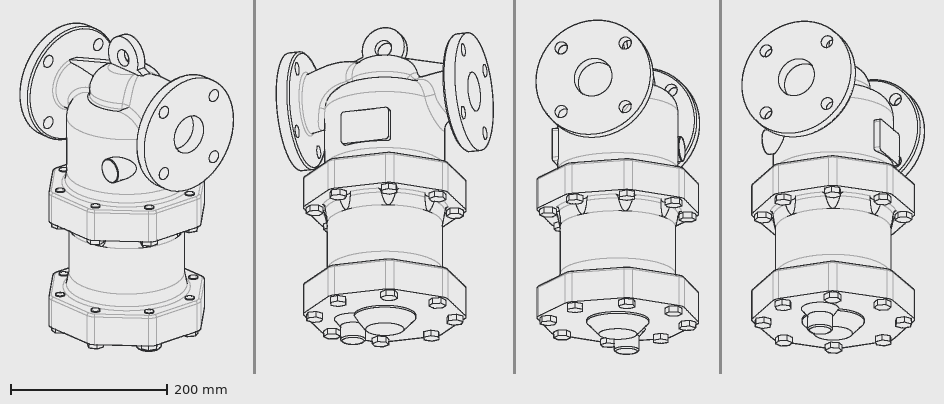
import cadquery as cq
import math


FACE_TO_FACE = 242.0
PIPE_FLANGE_DIA = 152.0
PIPE_FLANGE_THICKNESS = 17.0
PIPE_FLANGE_CHAMFER = 2.5
FLANGE_BACK_X = FACE_TO_FACE / 2 - PIPE_FLANGE_THICKNESS
PIPE_BOLT_CIRCLE_DIA = 120.0
PIPE_BOLT_HOLE_DIA = 16.0
PIPE_BOLT_COUNT = 4
BORE_DIA = 50.0
BORE_DEPTH = 20.0

PIPE_RADIUS = 32.0
PIPE_ROOT_FILLET = 3.0
PIPE_OVERLAP = 1.0
INLET_BARREL_FILLET = 14.0
INLET_DOME_FILLET = 8.0
OUTLET_BARREL_FILLET = 9.0
OUTLET_DOME_FILLET = 14.0
INLET_SECTIONS = [
    (-FLANGE_BACK_X - PIPE_OVERLAP, -PIPE_RADIUS, PIPE_RADIUS),
    (-98.0, -PIPE_RADIUS, PIPE_RADIUS),
    (-70.0, -35.0, 29.0),
    (-10.0, -43.0, 21.0),
]
OUTLET_SECTIONS = [
    (0.0, -21.0, 46.0),
    (42.0, -24.0, 58.0),
    (66.0, -25.0, 58.0),
    (86.0, -27.5, 53.0),
    (FLANGE_BACK_X + PIPE_OVERLAP, -31.0, 45.5),
]

SEAM_ANGLE = 90.0
UPPER_BODY_RADIUS = 77.0
LOWER_BODY_RADIUS = 74.0
SHOULDER_Z = -13.0
SHOULDER_RADIUS = 27.5
DOME_RADIUS = 47.5
DOME_BASE_Z = -70.0
DOME_SIDE_TOP_Z = 24.5
DOME_CROWN_RADIUS = 24.0
DOME_TOP_Z = 55.0
DOME_ROOT_FILLET = 2.5
SKIRT_FLARE = 3.5
UPPER_SKIRT_FLARE = 2.0
UPPER_SKIRT_HEIGHT = 15.0
SKIRT_HEIGHT = 20.0
SKIRT_ROOT_FILLET = 4.0

OCTAGON_ACROSS_FLATS = 195.0
OCTAGON_CORNER_RADIUS = 14.0
OCTAGON_TOP_FILLET = 3.0
UPPER_JOINT_TOP_Z = -104.0
JOINT_PITCH = 144.5
JOINT_THICKNESS = 41.5

BOLT_COUNT = 8
BOLT_CIRCLE_RADIUS = 90.0
BOLT_DIA = 12.0
BOLT_TIP_HEIGHT = 1.3
BOLT_HEAD_CORNER_DIA = 22.0
BOLT_HEAD_HEIGHT = 7.5
SPOT_RECESS_RADIUS = 16.0
UPPER_HEAD_ANGLE = -7.5
LOWER_HEAD_ANGLE = -22.5

LUG_Z = 69.9
LUG_RADIUS = 28.5
LUG_HOLE_DIA = 22.0
LUG_THICKNESS = 12.0
TOTAL_HEIGHT = 417.91
RIB_END_Z = 35.0
RIB_HEEL = (-26.0, 54.6)
LUG_TOE_TOP = (27.0, 62.0)
LUG_TOE_END = (38.5, 57.0)

COVER_RADIUS = 40.0
COVER_FACE_RADIUS = 24.5
COVER_DEPTH = 18.4
COVER_RIM_HEIGHT = 2.4
DRAIN_X = 43.0
DRAIN_DIA = 32.0
DRAIN_CHAMFER = 2.0
DRAIN_FLARE = 8.0
DRAIN_FLARE_HEIGHT = 9.5

BOSS_X = 49.4
BOSS_Z = -53.4
BOSS_DIA = 32.0
BOSS_FACE_Y = -72.0
BOSS_CHAMFER = 1.0
PAD_WIDTH = 64.0
PAD_HEIGHT = 43.0
PAD_Z = -58.0
PAD_FACE_Y = 78.5
PAD_CORNER_RADIUS = 4.0

LOWER_JOINT_TOP_Z = UPPER_JOINT_TOP_Z - JOINT_PITCH
UPPER_JOINT_BOTTOM_Z = UPPER_JOINT_TOP_Z - JOINT_THICKNESS
LOWER_JOINT_BOTTOM_Z = LOWER_JOINT_TOP_Z - JOINT_THICKNESS
SHOULDER_TOP_Z = SHOULDER_Z + SHOULDER_RADIUS
BOTTOM_Z = LUG_Z + LUG_RADIUS - TOTAL_HEIGHT


def barrel():
    """Upper vessel below the dome: skirt, cylinder and rounded shoulder, revolved about Z."""
    r = UPPER_BODY_RADIUS
    diagonal = SHOULDER_RADIUS * math.sqrt(0.5)
    shoulder_centre_r = r - SHOULDER_RADIUS
    skirt_r = r + UPPER_SKIRT_FLARE
    skirt_z = UPPER_JOINT_TOP_Z + SKIRT_ROOT_FILLET
    skirt_diagonal = SKIRT_ROOT_FILLET * (1 - math.sqrt(0.5))
    return (
        cq.Workplane("XZ")
        .moveTo(0, UPPER_JOINT_TOP_Z)
        .lineTo(skirt_r + SKIRT_ROOT_FILLET, UPPER_JOINT_TOP_Z)
        .threePointArc(
            (skirt_r + skirt_diagonal, UPPER_JOINT_TOP_Z + skirt_diagonal),
            (skirt_r, skirt_z),
        )
        .lineTo(r, UPPER_JOINT_TOP_Z + UPPER_SKIRT_HEIGHT)
        .lineTo(r, SHOULDER_Z)
        .threePointArc(
            (shoulder_centre_r + diagonal, SHOULDER_Z + diagonal),
            (shoulder_centre_r, SHOULDER_TOP_Z),
        )
        .lineTo(0, SHOULDER_TOP_Z)
        .close()
        .revolve(360, (0, 0), (0, 1))
        .rotate((0, 0, 0), (0, 0, 1), SEAM_ANGLE)
    )


def dome():
    """Arched dome on a cylinder that reaches down inside the barrel."""
    rise = DOME_TOP_Z - DOME_SIDE_TOP_Z
    run = DOME_RADIUS - DOME_CROWN_RADIUS
    arc_radius = (run ** 2 + rise ** 2) / (2 * run)
    half_angle = math.asin(rise / arc_radius) / 2
    arc_mid = (
        DOME_RADIUS - arc_radius * (1 - math.cos(half_angle)),
        DOME_SIDE_TOP_Z + arc_radius * math.sin(half_angle),
    )
    return (
        cq.Workplane("XZ")
        .moveTo(0, DOME_BASE_Z)
        .lineTo(DOME_RADIUS, DOME_BASE_Z)
        .lineTo(DOME_RADIUS, DOME_SIDE_TOP_Z)
        .threePointArc(arc_mid, (DOME_CROWN_RADIUS, DOME_TOP_Z))
        .lineTo(0, DOME_TOP_Z)
        .close()
        .revolve(360, (0, 0), (0, 1))
        .rotate((0, 0, 0), (0, 0, 1), SEAM_ANGLE)
    )


def dome_root():
    """Concave ring blending the dome into the shoulder."""
    f = DOME_ROOT_FILLET
    d = f * (1 - math.sqrt(0.5))
    r = DOME_RADIUS
    return (
        cq.Workplane("XZ")
        .moveTo(r - f, SHOULDER_TOP_Z - f)
        .lineTo(r, SHOULDER_TOP_Z - f)
        .lineTo(r + f, SHOULDER_TOP_Z)
        .threePointArc((r + d, SHOULDER_TOP_Z + d), (r, SHOULDER_TOP_Z + f))
        .lineTo(r - f, SHOULDER_TOP_Z + f)
        .close()
        .revolve(360, (0, 0), (0, 1))
        .rotate((0, 0, 0), (0, 0, 1), SEAM_ANGLE)
    )


def section(x, low_z, high_z):
    """Elliptical pipe section standing across the X axis."""
    mid_z = (low_z + high_z) / 2
    half_height = (high_z - low_z) / 2
    plane = cq.Plane(origin=(x, 0, mid_z), xDir=(0, 0, 1), normal=(1, 0, 0))
    return cq.Workplane(plane).ellipse(half_height, PIPE_RADIUS).wires().val()


def pipe(sections):
    """Smooth pipe through its sections, listed from one end to the other."""
    return cq.Workplane(cq.Solid.makeLoft([section(*s) for s in sections]))


def join_blended(body, branch, seam_point, radius):
    """Union of two solids, with a fillet along the seam whose edge is centred nearest the point."""
    seam = cq.selectors.NearestToPointSelector(seam_point)
    return body.union(branch).edges(seam).fillet(radius)


def vessel_top():
    """Barrel and dome with both pipes blended into them."""
    inlet = pipe(INLET_SECTIONS)
    outlet = pipe(OUTLET_SECTIONS)
    below_inlet = (-UPPER_BODY_RADIUS, 0, -PIPE_RADIUS)
    below_outlet = (UPPER_BODY_RADIUS, 0, -PIPE_RADIUS)
    above_inlet = (-DOME_RADIUS, 0, DOME_SIDE_TOP_Z)
    above_outlet = (DOME_CROWN_RADIUS, 0, DOME_TOP_Z)
    lower = join_blended(barrel(), inlet, below_inlet, INLET_BARREL_FILLET)
    lower = join_blended(lower, outlet, below_outlet, OUTLET_BARREL_FILLET)
    upper = join_blended(dome(), inlet, above_inlet, INLET_DOME_FILLET)
    upper = join_blended(upper, outlet, above_outlet, OUTLET_DOME_FILLET)
    return lower.union(upper).union(dome_root())


def pipe_flange(side):
    """Drilled pipe flange on the -X side (side = -1) or +X side (side = 1)."""
    disc = (
        cq.Workplane("YZ", origin=(side * FACE_TO_FACE / 2, 0, 0))
        .circle(PIPE_FLANGE_DIA / 2)
        .extrude(-side * PIPE_FLANGE_THICKNESS)
    )
    back = "<X" if side > 0 else ">X"
    disc = disc.faces(back).edges().chamfer(PIPE_FLANGE_CHAMFER)
    holes = (
        cq.Workplane("YZ", origin=(side * FACE_TO_FACE / 2, 0, 0))
        .polarArray(PIPE_BOLT_CIRCLE_DIA / 2, 180 / PIPE_BOLT_COUNT, 360, PIPE_BOLT_COUNT)
        .circle(PIPE_BOLT_HOLE_DIA / 2)
        .extrude(-side * PIPE_FLANGE_THICKNESS)
    )
    return disc.cut(holes)


def join_pipe_flange(casting, side):
    """Add the pipe flange of one side, with a fillet around the root of its pipe."""
    seat_x = side * FLANGE_BACK_X
    reach = PIPE_OVERLAP / 2
    half_height = OUTLET_SECTIONS[-1][2] + PIPE_OVERLAP
    root = cq.selectors.BoxSelector(
        (seat_x - reach, -PIPE_RADIUS - reach, -half_height),
        (seat_x + reach, PIPE_RADIUS + reach, half_height),
        boundingbox=True,
    )
    return casting.union(pipe_flange(side)).edges(root).fillet(PIPE_ROOT_FILLET)


def pipe_bore(side):
    """Blind bore in the face of one pipe flange."""
    return (
        cq.Workplane("YZ", origin=(side * FACE_TO_FACE / 2, 0, 0))
        .circle(BORE_DIA / 2)
        .extrude(-side * BORE_DEPTH)
    )


def lifting_rib():
    """Upright plate in the XZ plane: sloping rib, round lug and toe."""
    plate = (
        cq.Workplane("XZ", origin=(0, LUG_THICKNESS / 2, 0))
        .moveTo(-FLANGE_BACK_X, 0)
        .lineTo(-FLANGE_BACK_X, RIB_END_Z)
        .lineTo(*RIB_HEEL)
        .lineTo(0, LUG_Z)
        .lineTo(*LUG_TOE_TOP)
        .lineTo(*LUG_TOE_END)
        .lineTo(LUG_TOE_END[0], 0)
        .close()
        .extrude(LUG_THICKNESS)
    )
    lug = (
        cq.Workplane("XZ", origin=(0, LUG_THICKNESS / 2, LUG_Z))
        .circle(LUG_RADIUS)
        .extrude(LUG_THICKNESS)
    )
    hole = (
        cq.Workplane("XZ", origin=(0, LUG_THICKNESS / 2, LUG_Z))
        .circle(LUG_HOLE_DIA / 2)
        .extrude(LUG_THICKNESS)
    )
    return plate.union(lug).cut(hole)


def octagon(top_z, height):
    """Octagonal plate with rounded corners, hanging down from top_z."""
    corner_dia = OCTAGON_ACROSS_FLATS / math.cos(math.pi / BOLT_COUNT)
    return (
        cq.Workplane("XY", origin=(0, 0, top_z))
        .transformed(rotate=(0, 0, 180 / BOLT_COUNT))
        .polygon(BOLT_COUNT, corner_dia)
        .extrude(-height)
        .edges("|Z")
        .fillet(OCTAGON_CORNER_RADIUS)
    )


def bolted_joint(top_z, head_angle):
    """Pair of octagonal flanges with bolt tips above and hex heads below."""
    joint = octagon(top_z, JOINT_THICKNESS)
    joint = joint.faces(">Z").edges().fillet(OCTAGON_TOP_FILLET)
    bottom_z = top_z - JOINT_THICKNESS
    for i in range(BOLT_COUNT):
        angle = (i + 0.5) * 360 / BOLT_COUNT
        tip = (
            cq.Workplane("XY", origin=(BOLT_CIRCLE_RADIUS, 0, top_z))
            .circle(BOLT_DIA / 2)
            .extrude(BOLT_TIP_HEIGHT)
        )
        head = (
            cq.Workplane("XY", origin=(BOLT_CIRCLE_RADIUS, 0, bottom_z))
            .transformed(rotate=(0, 0, head_angle))
            .polygon(6, BOLT_HEAD_CORNER_DIA)
            .extrude(-BOLT_HEAD_HEIGHT)
        )
        bolt = tip.union(head).rotate((0, 0, 0), (0, 0, 1), angle)
        joint = joint.union(bolt)
    return joint


def lower_body():
    """Lower cylinder flaring to a skirt at both joints, relieved around the upper bolts."""
    r = LOWER_BODY_RADIUS
    skirt_r = r + SKIRT_FLARE
    f = SKIRT_ROOT_FILLET
    d = f * (1 - math.sqrt(0.5))
    body = (
        cq.Workplane("XZ")
        .moveTo(0, LOWER_JOINT_TOP_Z)
        .lineTo(skirt_r + f, LOWER_JOINT_TOP_Z)
        .threePointArc((skirt_r + d, LOWER_JOINT_TOP_Z + d), (skirt_r, LOWER_JOINT_TOP_Z + f))
        .lineTo(r, LOWER_JOINT_TOP_Z + SKIRT_HEIGHT)
        .lineTo(r, UPPER_JOINT_BOTTOM_Z - SKIRT_HEIGHT)
        .lineTo(skirt_r, UPPER_JOINT_BOTTOM_Z - f)
        .threePointArc((skirt_r + d, UPPER_JOINT_BOTTOM_Z - d), (skirt_r + f, UPPER_JOINT_BOTTOM_Z))
        .lineTo(0, UPPER_JOINT_BOTTOM_Z)
        .close()
        .revolve(360, (0, 0), (0, 1))
    )
    recesses = (
        cq.Workplane("XY", origin=(0, 0, UPPER_JOINT_BOTTOM_Z))
        .polarArray(BOLT_CIRCLE_RADIUS, 180 / BOLT_COUNT, 360, BOLT_COUNT)
        .circle(SPOT_RECESS_RADIUS)
        .extrude(-SKIRT_HEIGHT)
    )
    return body.cut(recesses)


def bottom_cover():
    """Conical cover with an offset drain spigot."""
    dish = (
        cq.Workplane("XZ")
        .moveTo(0, LOWER_JOINT_BOTTOM_Z)
        .lineTo(COVER_RADIUS, LOWER_JOINT_BOTTOM_Z)
        .lineTo(COVER_RADIUS, LOWER_JOINT_BOTTOM_Z - COVER_RIM_HEIGHT)
        .lineTo(COVER_FACE_RADIUS, LOWER_JOINT_BOTTOM_Z - COVER_DEPTH)
        .lineTo(0, LOWER_JOINT_BOTTOM_Z - COVER_DEPTH)
        .close()
        .revolve(360, (0, 0), (0, 1))
    )
    r = DRAIN_DIA / 2
    drain = (
        cq.Workplane("XZ", origin=(DRAIN_X, 0, 0))
        .moveTo(0, LOWER_JOINT_BOTTOM_Z)
        .lineTo(r + DRAIN_FLARE, LOWER_JOINT_BOTTOM_Z)
        .lineTo(r, LOWER_JOINT_BOTTOM_Z - DRAIN_FLARE_HEIGHT)
        .lineTo(r, BOTTOM_Z + DRAIN_CHAMFER)
        .lineTo(r - DRAIN_CHAMFER, BOTTOM_Z)
        .lineTo(0, BOTTOM_Z)
        .close()
        .revolve(360, (0, 0), (0, 1))
    )
    return dish.union(drain)


def side_boss():
    """Round plug boss on the -Y side."""
    return (
        cq.Workplane("XZ", origin=(BOSS_X, BOSS_FACE_Y, BOSS_Z))
        .circle(BOSS_DIA / 2)
        .extrude(BOSS_FACE_Y)
        .faces("<Y")
        .edges()
        .chamfer(BOSS_CHAMFER)
    )


def nameplate_pad():
    """Flat rectangular pad on the +Y side."""
    return (
        cq.Workplane("XY", origin=(0, PAD_FACE_Y / 2, PAD_Z))
        .box(PAD_WIDTH, PAD_FACE_Y, PAD_HEIGHT)
        .edges("|Y")
        .fillet(PAD_CORNER_RADIUS)
    )


def upper_casting():
    """Vessel top with its pipe flanges, rib, boss and pad."""
    casting = join_pipe_flange(vessel_top(), -1)
    casting = join_pipe_flange(casting, 1)
    return casting.union(lifting_rib()).union(side_boss()).union(nameplate_pad())


result = (
    upper_casting()
    .union(bolted_joint(UPPER_JOINT_TOP_Z, UPPER_HEAD_ANGLE))
    .union(lower_body())
    .union(bolted_joint(LOWER_JOINT_TOP_Z, LOWER_HEAD_ANGLE))
    .union(bottom_cover())
    .cut(pipe_bore(-1))
    .cut(pipe_bore(1))
)